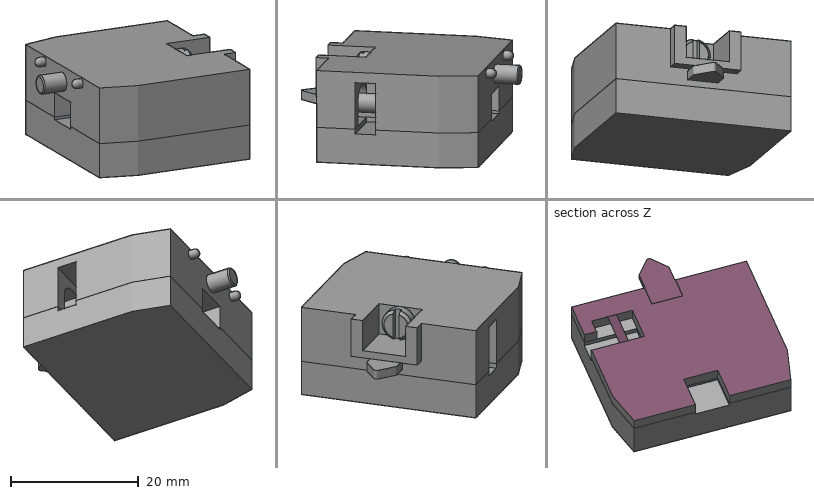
import cadquery as cq
import math


width = 29.0
depth = 25.5
height = 14.7
parting_z = 5.6
corner_run_x = 1.5
corner_run_y = 6.0

lug_width = 11.0
lug_length = 2.0
lug_bottom_z = 8.45
notch_width = 7.15
notch_depth = 7.55
notch_floor_z = 9.62

nub_diameter = 1.5
nub_spacing = 13.0
nub_straight = 0.77
nub_z = 13.7

front_pocket_width = 5.55
front_pocket_height = 4.4
front_pocket_bottom_z = 5.18
front_pocket_depth = 5.55

slot_front_y = 16.05
slot_width = 3.3
slot_bottom_z = 4.83
slot_height = 8.22
side_wall = 2.05
chamber_width = 6.7
chamber_top_z = 11.55
chamber_corner_radius = 2.52
chamber_back_y = 21.65

rod_diameter = 3.0
rod_z = 8.65

screw_diameter = 3.0
screw_tip_diameter = 2.6
screw_projection = 4.0
screw_z = 12.18
head_diameter = 5.0
head_length = 2.05
head_chamfer = 0.5
driver_slot = 1.0

tongue_width = 5.0
tongue_thickness = 1.47
tongue_bottom_z = 6.6
tongue_offset_x = 0.15
tongue_projection = 5.5
tongue_insertion = 3.5
tongue_half_angle = 40.0
tongue_fillet = 0.5

lug_back_y = depth + lug_length
notch_front_y = lug_back_y - notch_depth
rod_x = -width / 2 + side_wall + chamber_width / 2
chamber_inner_x = rod_x + chamber_width / 2
tongue_tip_y = depth + tongue_projection


def box(x0, x1, y0, y1, z0, z1):
    """Box between opposite corners."""
    return cq.Workplane("XY").box(x1 - x0, y1 - y0, z1 - z0, centered=False).translate((x0, y0, z0))


def centred_box(x_size, y0, y1, z0, z1):
    """Box that lies evenly about the middle plane."""
    return box(-x_size / 2, x_size / 2, y0, y1, z0, z1)


def cylinder_along_y(diameter, x, z, y0, y1):
    """Cylinder parallel to Y, from y0 to y1."""
    return cq.Workplane("XZ", origin=(x, y0, z)).circle(diameter / 2).extrude(y0 - y1)


def housing_block(z0, z1):
    """Slab with the housing outline: a rectangle with its two front corners cut off."""
    half = width / 2
    outline = [
        (-half + corner_run_x, 0),
        (half - corner_run_x, 0),
        (half, corner_run_y),
        (half, depth),
        (-half, depth),
        (-half, corner_run_y),
    ]
    return cq.Workplane("XY", origin=(0, 0, z0)).polyline(outline).close().extrude(z1 - z0)


def front_pocket():
    top_z = front_pocket_bottom_z + front_pocket_height
    return centred_box(front_pocket_width, 0, front_pocket_depth, front_pocket_bottom_z, top_z)


def side_slot():
    return box(
        -width / 2,
        chamber_inner_x,
        slot_front_y,
        slot_front_y + slot_width,
        slot_bottom_z,
        slot_bottom_z + slot_height,
    )


def rod_chamber():
    """Chamber around the rod, standing on the parting plane, with its two upper edges rounded."""
    left_x = rod_x - chamber_width / 2
    chamber = box(left_x, chamber_inner_x, slot_front_y, chamber_back_y, parting_z, chamber_top_z)
    return chamber.edges("|Y and >Z").fillet(chamber_corner_radius)


def guide_nub(x):
    """Short peg with a hemispherical end."""
    peg = cylinder_along_y(nub_diameter, x, nub_z, -nub_straight, 0)
    end = cq.Workplane("XY").sphere(nub_diameter / 2).translate((x, -nub_straight, nub_z))
    return peg.union(end)


def make_screw():
    """Slotted screw along Y: head in the notch, chamfered tip ahead of the front face."""
    chamfer = (screw_diameter - screw_tip_diameter) / 2
    shank = cylinder_along_y(screw_diameter, 0, screw_z, -screw_projection, notch_front_y)
    shank = shank.faces("<Y").chamfer(chamfer)
    head_end_y = notch_front_y + head_length
    head = cylinder_along_y(head_diameter, 0, screw_z, notch_front_y, head_end_y)
    head = head.faces(">Y").chamfer(head_chamfer)
    groove = centred_box(driver_slot, head_end_y - driver_slot, head_end_y, 0, height)
    return shank.union(head.cut(groove))


def make_tongue():
    """Flat bar set into the back of the upper half, with a rounded point."""
    half = tongue_width / 2
    angle = math.radians(tongue_half_angle)
    point_y = tongue_tip_y + tongue_fillet * (1 / math.sin(angle) - 1)
    shoulder_y = point_y - half / math.tan(angle)
    start_y = depth - tongue_insertion
    outline = [(-half, start_y), (half, start_y), (half, shoulder_y), (0, point_y), (-half, shoulder_y)]
    bar = cq.Workplane("XY").polyline(outline).close().extrude(tongue_thickness)
    bar = bar.edges("|Z and (not <Y)").fillet(tongue_fillet)
    return bar.translate((tongue_offset_x, 0, tongue_bottom_z))


def make_rod():
    return cylinder_along_y(rod_diameter, rod_x, rod_z, slot_front_y, chamber_back_y)


def make_lower_housing():
    return housing_block(0, parting_z).cut(front_pocket()).cut(side_slot())


def make_upper_housing(screw, tongue):
    """Upper half with lug, notch and nubs; the screw and the tongue sit in matching openings."""
    lug = centred_box(lug_width, notch_front_y, lug_back_y, lug_bottom_z, height)
    notch = centred_box(notch_width, notch_front_y, lug_back_y, notch_floor_z, height)
    body = housing_block(parting_z, height).union(lug).cut(notch)
    body = body.cut(front_pocket()).cut(side_slot()).cut(rod_chamber())
    for side in (-1, 1):
        body = body.union(guide_nub(side * nub_spacing / 2))
    return body.cut(screw).cut(tongue)


screw = make_screw()
tongue = make_tongue()
rod = make_rod()
lower_housing = make_lower_housing()
upper_housing = make_upper_housing(screw, tongue)

result = cq.Compound.makeCompound(
    [upper_housing.val(), lower_housing.val(), screw.val(), tongue.val(), rod.val()]
)